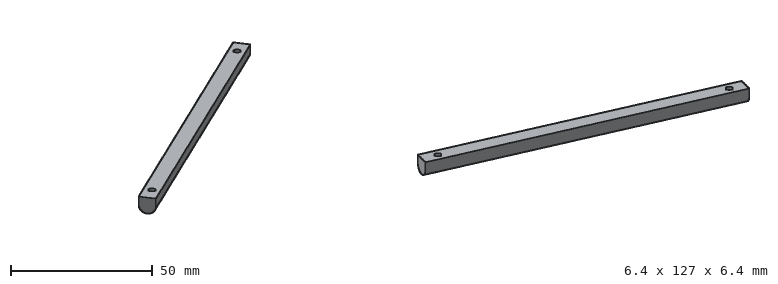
import cadquery as cq

length = 127.0
width = 6.4
height = 6.4
hole_diameter = 2.5
hole_end_distance = 6.4

round_radius = width / 2
top_z = height - round_radius
hole_y = length / 2 - hole_end_distance

bar = (
    cq.Workplane("XZ")
    .moveTo(-width / 2, 0)
    .lineTo(-width / 2, top_z)
    .lineTo(width / 2, top_z)
    .lineTo(width / 2, 0)
    .threePointArc((0, -round_radius), (-width / 2, 0))
    .close()
    .extrude(length / 2, both=True)
)

result = (
    bar.faces(">Z")
    .workplane(origin=(0, 0, top_z))
    .pushPoints([(0, -hole_y), (0, hole_y)])
    .hole(hole_diameter)
)